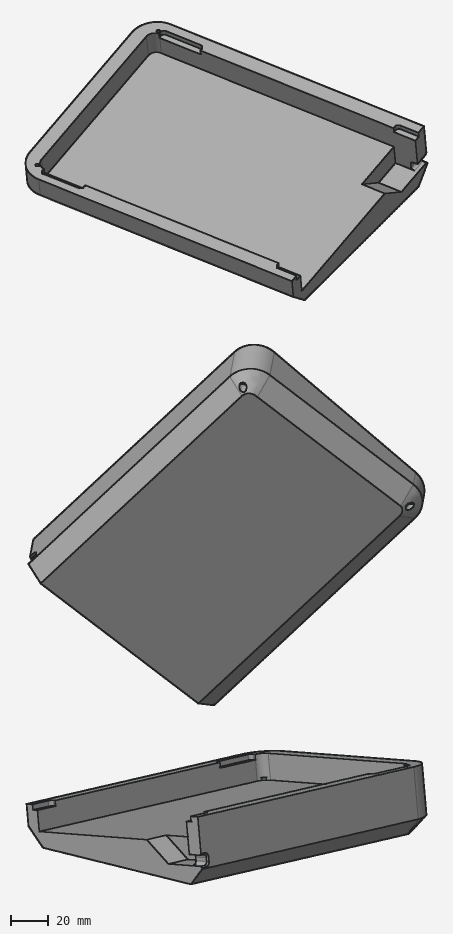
import cadquery as cq
import math


TILT = 7.0
LENGTH = 174.78
RIM_WIDTH = 132.15
HEIGHT = 37.94
OUTER_RADIUS = 15.0
BASE_CHAMFER = 10.0

END_WALL = 8.5
LOW_WALL = 8.1
HIGH_WALL = 9.1
POCKET_DEPTH = 14.5
POCKET_RADIUS = 5.0

CLIP_DEPTH = 3.0
CLIP_REACH = 3.5
CLIP_RADIUS = 2.0
CLIP_START = 13.3
CLIP_LENGTH = 26.0
END_CLIP_LENGTH = 13.5

WELL_LENGTH = 14.4
WELL_DEPTH = 12.3
WELL_FLOOR_WIDTH = 16.8
RAMP_RUN = 15.2

CABLE_WIDTH = 9.0
CABLE_HEIGHT = 6.0
CABLE_RADIUS = 2.0
CABLE_CHAMFER = 0.9
FLARE_ANGLE = 45.0

PIN_DIAMETER = 2.0
PIN_BORE_DIAMETER = 4.0
PIN_BORE_DEPTH = 10.0
PIN_POSITIONS = [
    (8.7, 8.8),
    (12.0, RIM_WIDTH - 7.6),
]

SIN = math.sin(math.radians(TILT))
COS = math.cos(math.radians(TILT))
RIM_NORMAL = cq.Vector(0, -SIN, COS)
ALONG_NORMAL = cq.selectors.ParallelDirSelector(RIM_NORMAL)
LOW_RIM_HEIGHT = HEIGHT - RIM_WIDTH * SIN
POCKET_TOP = RIM_WIDTH - HIGH_WALL
WELL_FLOOR_DEPTH = POCKET_DEPTH + WELL_DEPTH
CUT_DEPTH = 2 * HEIGHT


def rim_plane(depth=0.0):
    """Tilted plane parallel to the rim and `depth` below it; its y axis runs up the slope."""
    origin = (0, depth * SIN, LOW_RIM_HEIGHT - depth * COS)
    return cq.Plane(origin=origin, xDir=(1, 0, 0), normal=RIM_NORMAL)


def tilted_box(x_start, x_end, v_start, v_end, depth):
    """Block from the rim plane down to `depth`, given by its X range and range up the slope."""
    return (
        cq.Workplane(rim_plane())
        .moveTo(x_start, v_start)
        .lineTo(x_end, v_start)
        .lineTo(x_end, v_end)
        .lineTo(x_start, v_end)
        .close()
        .extrude(-depth)
    )


def make_body():
    """Tilted prism cut flat at Z = 0, with the base edges chamfered."""
    body = tilted_box(0, LENGTH, 0, RIM_WIDTH, CUT_DEPTH)
    corner_edges = body.faces("<X").edges(ALONG_NORMAL)
    body = corner_edges.fillet(OUTER_RADIUS)
    above_base = cq.Workplane("XY").box(2 * LENGTH, 4 * RIM_WIDTH, HEIGHT, centered=(True, True, False))
    body = body.intersect(above_base)
    base_edges = body.faces("<Z").edges("not(>X)")
    return base_edges.chamfer(BASE_CHAMFER)


def make_pocket():
    """Tray pocket, open at +X, rounded at the closed end."""
    pocket = tilted_box(END_WALL, LENGTH, LOW_WALL, POCKET_TOP, POCKET_DEPTH)
    corner_edges = pocket.faces("<X").edges(ALONG_NORMAL)
    return corner_edges.fillet(POCKET_RADIUS)


def make_clip_recesses(x_start, x_end):
    """Pair of shallow recesses, one in the low wall and one in the high wall."""
    recess = tilted_box(x_start, x_end, LOW_WALL - CLIP_REACH, POCKET_TOP + CLIP_REACH, CLIP_DEPTH)
    return recess.edges(ALONG_NORMAL).fillet(CLIP_RADIUS)


def make_well():
    """Well under the pocket floor against the high wall, with a ramp on its low side."""
    foot = POCKET_TOP - WELL_FLOOR_WIDTH
    section = cq.Plane(
        origin=(LENGTH, 0, LOW_RIM_HEIGHT), xDir=(0, COS, SIN), normal=(1, 0, 0)
    )
    return (
        cq.Workplane(section)
        .moveTo(POCKET_TOP, -POCKET_DEPTH)
        .lineTo(POCKET_TOP, -WELL_FLOOR_DEPTH)
        .lineTo(foot, -WELL_FLOOR_DEPTH)
        .lineTo(foot - RAMP_RUN, -POCKET_DEPTH)
        .close()
        .extrude(-WELL_LENGTH)
    )


def make_cable_opening():
    """Rounded opening through the high wall, level with the well floor, flared at its mouth."""
    mouth_depth = WELL_FLOOR_DEPTH - CABLE_HEIGHT / 2
    mouth = cq.Plane(
        origin=(LENGTH, RIM_WIDTH * COS + mouth_depth * SIN, HEIGHT - mouth_depth * COS),
        xDir=(-1, 0, 0),
        normal=(0, COS, SIN),
    )
    opening = (
        cq.Workplane(mouth)
        .sketch()
        .rect(CABLE_WIDTH, CABLE_HEIGHT)
        .vertices()
        .fillet(CABLE_RADIUS)
        .finalize()
        .extrude(-HIGH_WALL)
    )
    flare = (
        cq.Workplane(mouth)
        .sketch()
        .rect(CABLE_WIDTH + 2 * CABLE_CHAMFER, CABLE_HEIGHT + 2 * CABLE_CHAMFER)
        .vertices()
        .fillet(CABLE_RADIUS + CABLE_CHAMFER)
        .finalize()
        .extrude(-CABLE_CHAMFER, taper=FLARE_ANGLE)
    )
    return opening.union(flare)


def make_pin_hole(x, v):
    """Hole square to the rim, widened where it leaves through the base chamfer."""
    hole = cq.Workplane(rim_plane()).center(x, v).circle(PIN_DIAMETER / 2).extrude(-CUT_DEPTH)
    base_depth = (LOW_RIM_HEIGHT + v * SIN) / COS
    bore = (
        cq.Workplane(rim_plane(base_depth))
        .center(x, v)
        .circle(PIN_BORE_DIAMETER / 2)
        .extrude(PIN_BORE_DEPTH)
    )
    return hole.union(bore)


result = make_body()
result = result.cut(make_pocket())
result = result.cut(make_clip_recesses(CLIP_START, CLIP_START + CLIP_LENGTH))
result = result.cut(make_clip_recesses(LENGTH - END_CLIP_LENGTH, LENGTH + END_CLIP_LENGTH))
result = result.cut(make_well())
result = result.cut(make_cable_opening())
for pin_x, pin_v in PIN_POSITIONS:
    result = result.cut(make_pin_hole(pin_x, pin_v))